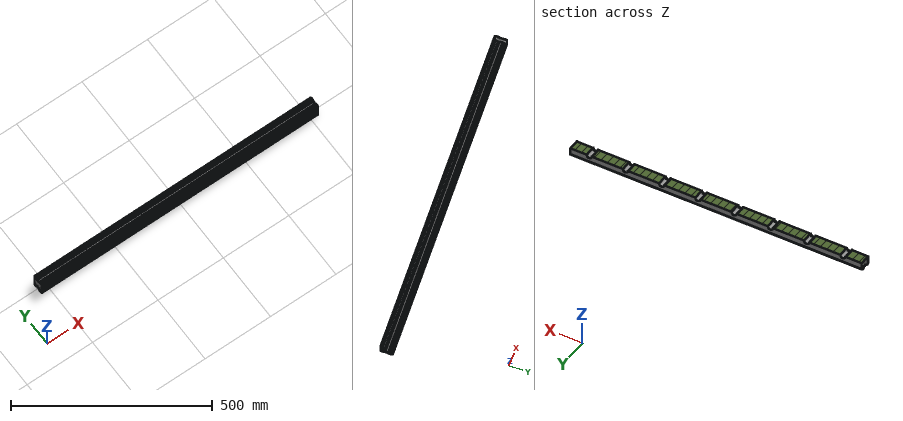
import cadquery as cq
import math

length = 845.0
height = 32.0
width = 45.0

base_chamfer = 2.0

raceway_radius = 3.2
head_raceway_y = 16.0
head_raceway_outset = 0.2
side_raceway_y = 5.05
side_raceway_outset = 0.85
side_raceway_end_y = 5.0

lead_in_depth = 0.3
head_land_y = 12.6
side_land_y = 8.75
base_land_y = -7.7
lead_in_bottom_y = -6.9

floor_depth = 3.8
floor_head_y = 4.0
floor_base_y = -3.7

channel_inner_z = 7.0
channel_outer_z = 14.75
channel_depth = 0.5
channel_slope_run = 0.5

hole_count = 8
hole_pitch = 105.0
hole_diameter = 14.0

half_height = height / 2
half_width = width / 2
lead_in_z = half_width - lead_in_depth
floor_z = half_width - floor_depth


class Raceway:
    """Circular groove section whose centre lies outside the side face by the outset."""

    def __init__(self, centre_y, outset):
        self.centre_y = centre_y
        self.centre_z = half_width + outset

    def at_angle(self, angle):
        y = self.centre_y + raceway_radius * math.cos(angle)
        z = self.centre_z + raceway_radius * math.sin(angle)
        return (y, z)

    def arc(self, outline, start, end):
        """Extend an outline to the groove and along its arc from one angle to the other."""
        middle = self.at_angle((start + end) / 2)
        return outline.lineTo(*self.at_angle(start)).threePointArc(middle, self.at_angle(end))

    def angle_at_y(self, y):
        return -math.acos((y - self.centre_y) / raceway_radius)

    def angle_at_z(self, z):
        return math.asin((z - self.centre_z) / raceway_radius)


def head_corner_cutter():
    """Material outside the raceway at the corner between side face and head."""
    raceway = Raceway(head_raceway_y, head_raceway_outset)
    start = -math.pi - raceway.angle_at_z(lead_in_z)
    end = raceway.angle_at_y(half_height)
    clear_z = half_width + raceway_radius
    outline = cq.Workplane("YZ").moveTo(head_land_y, half_width)
    outline = raceway.arc(outline, start, end)
    outline = outline.lineTo(half_height, clear_z).lineTo(head_land_y, clear_z).close()
    return outline.extrude(length / 2, both=True)


def side_recess_cutter():
    """Material outside the side raceway, the recess floor and the flank towards the base."""
    raceway = Raceway(side_raceway_y, side_raceway_outset)
    start = raceway.angle_at_z(lead_in_z)
    end = raceway.angle_at_y(side_raceway_end_y)
    outline = cq.Workplane("YZ").moveTo(side_land_y, half_width)
    outline = raceway.arc(outline, start, end)
    outline = (
        outline.lineTo(floor_head_y, floor_z)
        .lineTo(floor_base_y, floor_z)
        .lineTo(lead_in_bottom_y, lead_in_z)
        .lineTo(base_land_y, half_width)
        .close()
    )
    return outline.extrude(length / 2, both=True)


def base_channel():
    """Relief channel on the +Z half of the base, with a sloping inner wall."""
    channel_floor_y = -half_height + channel_depth
    outline = [
        (-half_height, channel_inner_z),
        (channel_floor_y, channel_inner_z + channel_slope_run),
        (channel_floor_y, channel_outer_z),
        (-half_height, channel_outer_z),
    ]
    return cq.Workplane("YZ").polyline(outline).close().extrude(length / 2, both=True)


def mounting_holes():
    """Row of plain holes running through the rail from base to head."""
    centres = cq.Workplane("XZ").rarray(hole_pitch, 1, hole_count, 1)
    return centres.circle(hole_diameter / 2).extrude(height, both=True)


result = cq.Workplane("XY").box(length, height, width)
result = result.edges("|X and <Y").chamfer(base_chamfer)
for cutter in (head_corner_cutter(), side_recess_cutter(), base_channel()):
    result = result.cut(cutter).cut(cutter.mirror("XY"))
result = result.cut(mounting_holes())